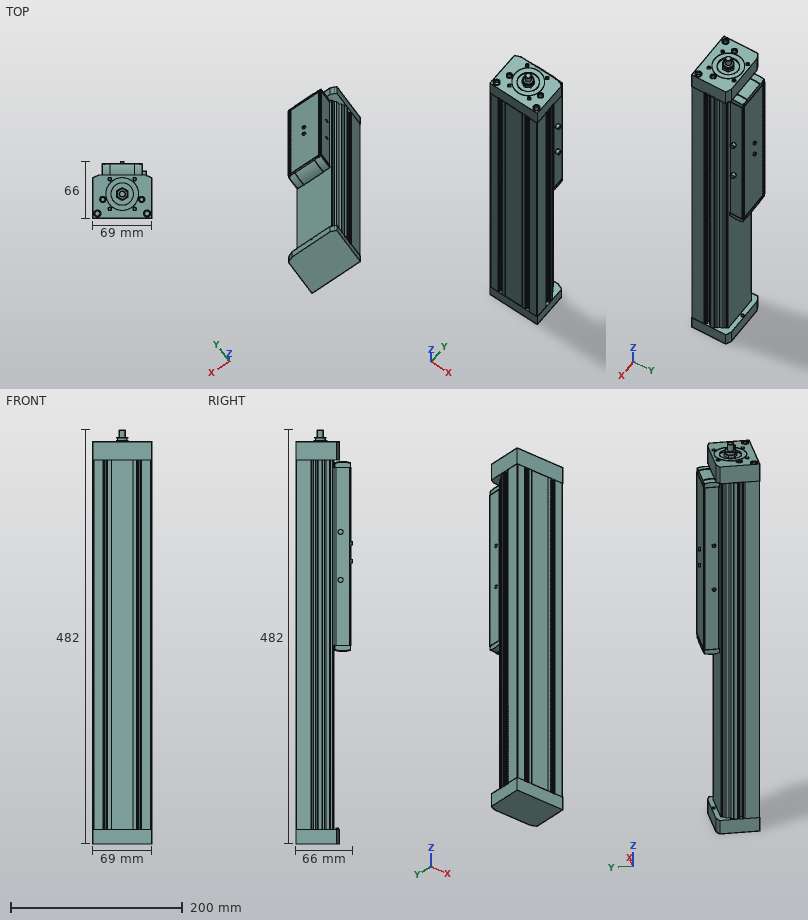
import cadquery as cq
import math


total_length = 482.0
half_width = 69.0 / 2
front_y = -28.5
shaft_stickout = 13.5
drive_cap_height = 21.5
end_cap_height = 17.5
drive_cap_top = total_length - shaft_stickout
drive_cap_bottom = drive_cap_top - drive_cap_height

block_rear_y = 22.0
bevel_start_y = 19.0
bevel_middle = (32.0, 20.2)
bevel_end_x = 27.0
pilot_diameter = 38.0
pilot_depth = 0.5
bearing_seat_diameter = 26.0
bearing_seat_depth = 2.0
pilot_floor_z = drive_cap_top - pilot_depth - bearing_seat_depth
flange_hole_diameter = 4.15
flange_hole_depth = 2.0
flange_thread_diameter = 3.25
flange_thread_depth = 7.0
flange_hole_x = 14.5
flange_hole_y = 17.5
port_diameter = 5.0
port_rim_diameter = 7.0
port_rim_depth = 1.5
port_depth = 9.5
port_x = 22.5
port_y = -6.5
corner_rim_diameter = 8.0
corner_rim_depth = 1.0
corner_bore_diameter = 6.0
corner_bore_depth = 5.0
corner_x = 29.0
corner_y = -22.5
buffer_diameter = 3.25
buffer_height = 1.5
buffer_y = 20.0

profile_rear_y = 16.0
front_chamfer_width = 1.5
front_chamfer_depth = 0.5
slot_lip_depth = 1.5
slot_ledge_depth = 2.5
slot_mouth_depth = 4.0
slot_depth = 6.7
front_slot_x = 20.0
front_slot_width = 6.0
front_slot_ledge = 4.0
front_slot_mouth = 2.0
side_slot_y = -6.7
side_slot_width = 8.5
side_slot_ledge = 6.0
side_slot_mouth = 3.0
panel_width = 24.5
panel_depth = 0.5

carriage_half_width = 23.5
carriage_top_y = 35.5
carriage_bottom_y = 18.5
carriage_plate_bottom = 231.5
carriage_plate_top = 438.0
carriage_edge_drop = 1.5
carriage_edge_inset = 0.5
carriage_groove_x = 20.5
carriage_groove_width = 1.5
carriage_groove_depth = 1.0
carriage_foot_half_width = 13.5
cover_half_width = 23.0
cover_bottom_y = 17.0
cover_top_y = 35.0
cover_edge_length = 6.0
cover_bulge = 1.5
cover_shoulder_drop = 1.0
cover_center_half_width = 14.0
dowel_diameter = 4.15
dowel_height = 2.0
dowel_heights = (329.0, 350.0)
side_port_diameter = 4.15
side_port_depth = 4.0
side_port_y = 23.5
side_port_heights = (307.5, 363.5)
nipple_diameter = 6.0
nipple_length = 4.5

shaft_diameter = 7.0
journal_diameter = 9.5
nut_across_flats = 13.0
nut_top_above_cap = 1.0
neck_diameter = 11.5
neck_top_above_cap = 4.5
collar_diameter = 13.0
collar_thickness = 0.5
shaft_tip_chamfer = 0.5


def mirrored_outline(right_side):
    """Closed XY outline from its +X half, listed from front to rear."""
    left_side = [(-x, y) for x, y in reversed(right_side)]
    return cq.Workplane("XY").polyline(right_side + left_side).close()


def box(x_range, y_range, z_range):
    """Box between the given coordinate pairs."""
    (x0, x1), (y0, y1), (z0, z1) = x_range, y_range, z_range
    return cq.Workplane("XY").box(x1 - x0, y1 - y0, z1 - z0, centered=False).translate((x0, y0, z0))


def upright_cylinder(diameter, bottom, top, x=0.0, y=0.0):
    """Cylinder along Z between two heights."""
    return cq.Workplane("XY", origin=(x, y, bottom)).circle(diameter / 2).extrude(top - bottom)


def end_block(bottom, height):
    """Plain end block with two-step bevels on its rear corners."""
    outline = mirrored_outline([
        (half_width, front_y),
        (half_width, bevel_start_y),
        bevel_middle,
        (bevel_end_x, block_rear_y),
    ])
    return outline.extrude(height).translate((0, 0, bottom))


def bore(block, diameter, depth, x=0.0, y=0.0):
    """Cut a blind round hole down from the top of the drive block."""
    return block.cut(upright_cylinder(diameter, drive_cap_top - depth, drive_cap_top, x, y))


def make_drive_block():
    block = end_block(drive_cap_bottom, drive_cap_height)
    block = bore(block, pilot_diameter, pilot_depth)
    block = bore(block, bearing_seat_diameter, pilot_depth + bearing_seat_depth)
    block = bore(block, journal_diameter, drive_cap_height)
    for side in (-1, 1):
        for end in (-1, 1):
            hole_place = (side * flange_hole_x, end * flange_hole_y)
            block = bore(block, flange_hole_diameter, flange_hole_depth, *hole_place)
            block = bore(block, flange_thread_diameter, flange_thread_depth, *hole_place)
        block = bore(block, port_rim_diameter, port_rim_depth, side * port_x, port_y)
        block = bore(block, port_diameter, port_depth, side * port_x, port_y)
        block = bore(block, corner_rim_diameter, corner_rim_depth, side * corner_x, corner_y)
        block = bore(block, corner_bore_diameter, corner_bore_depth, side * corner_x, corner_y)
    return block


def make_end_block():
    buffer = upright_cylinder(buffer_diameter, 0, end_cap_height + buffer_height, y=buffer_y)
    return end_block(0, end_cap_height).union(buffer)


def t_slot(width, ledge, mouth, length):
    """Stepped T-slot cutter along Z, opening toward -Y from the XZ plane."""
    stages = (
        (width, 0, slot_lip_depth),
        (ledge, slot_lip_depth, slot_ledge_depth),
        (mouth, slot_ledge_depth, slot_mouth_depth),
        (width, slot_mouth_depth, slot_depth),
    )
    cutter = cq.Workplane("XY")
    for stage_width, start, stop in stages:
        cutter = cutter.union(box((-stage_width / 2, stage_width / 2), (start, stop), (0, length)))
    return cutter


def make_profile():
    length = drive_cap_bottom - end_cap_height
    outline = mirrored_outline([
        (half_width - front_chamfer_width, front_y),
        (half_width, front_y + front_chamfer_depth),
        (half_width, -2.0),
        (33.5, 2.0),
        (32.0, 2.5),
        (31.1, 5.0),
        (29.0, 6.7),
        (28.0, 10.5),
        (26.0, 12.0),
        (25.5, 14.0),
        (24.5, 14.5),
        (24.5, profile_rear_y),
    ])
    profile = outline.extrude(length)
    panel_x = (-panel_width / 2, panel_width / 2)
    profile = profile.cut(box(panel_x, (front_y, front_y + panel_depth), (0, length)))
    front_slot = t_slot(front_slot_width, front_slot_ledge, front_slot_mouth, length)
    side_slot = t_slot(side_slot_width, side_slot_ledge, side_slot_mouth, length)
    for side in (-1, 1):
        profile = profile.cut(front_slot.translate((side * front_slot_x, front_y, 0)))
        turned_slot = side_slot.rotate((0, 0, 0), (0, 0, 1), side * 90)
        profile = profile.cut(turned_slot.translate((side * half_width, side_slot_y, 0)))
    return profile.translate((0, 0, end_cap_height))


def end_cover(half_span, edge_length):
    """Upper carriage cover with an outer end that bulges along Y, centred on X."""
    base = carriage_plate_top
    edge = base + edge_length
    middle = ((cover_bottom_y + cover_top_y) / 2, edge + cover_bulge)
    return (
        cq.Workplane("YZ", origin=(-half_span, 0, 0))
        .moveTo(cover_bottom_y, base)
        .lineTo(cover_bottom_y, edge)
        .threePointArc(middle, (cover_top_y, edge))
        .lineTo(cover_top_y, base)
        .close()
        .extrude(2 * half_span)
    )


def make_carriage():
    outline = mirrored_outline([
        (carriage_half_width, carriage_bottom_y),
        (carriage_half_width, carriage_top_y - carriage_edge_drop),
        (carriage_half_width - carriage_edge_inset, carriage_top_y),
    ])
    plate_span = (carriage_plate_bottom, carriage_plate_top)
    plate_length = carriage_plate_top - carriage_plate_bottom
    carriage = outline.extrude(plate_length).translate((0, 0, carriage_plate_bottom))
    foot_x = (-carriage_foot_half_width, carriage_foot_half_width)
    carriage = carriage.union(box(foot_x, (profile_rear_y, carriage_bottom_y), plate_span))
    cover = end_cover(cover_half_width, cover_edge_length - cover_shoulder_drop)
    cover = cover.union(end_cover(cover_center_half_width, cover_edge_length))
    middle_z = sum(plate_span) / 2
    carriage = carriage.union(cover).union(cover.mirror("XY", (0, 0, middle_z)))
    cover_reach = cover_edge_length + cover_bulge
    groove_span = (carriage_plate_bottom - cover_reach, carriage_plate_top + cover_reach)
    groove_y = (carriage_top_y - carriage_groove_depth, carriage_top_y)
    for side in (-1, 1):
        groove_center = side * carriage_groove_x
        groove_x = (groove_center - carriage_groove_width / 2, groove_center + carriage_groove_width / 2)
        carriage = carriage.cut(box(groove_x, groove_y, groove_span))
    for height in dowel_heights:
        dowel = cq.Workplane("XZ", origin=(0, carriage_top_y, height)).circle(dowel_diameter / 2)
        carriage = carriage.union(dowel.extrude(-dowel_height))
    for height in side_port_heights:
        port = cq.Workplane("YZ", origin=(-carriage_half_width, side_port_y, height))
        carriage = carriage.cut(port.circle(side_port_diameter / 2).extrude(side_port_depth))
        nipple = cq.Workplane("YZ", origin=(carriage_half_width, side_port_y, height))
        carriage = carriage.union(nipple.circle(nipple_diameter / 2).extrude(nipple_length))
    return carriage


def make_shaft():
    nut_top = drive_cap_top + nut_top_above_cap
    neck_top = drive_cap_top + neck_top_above_cap
    collar_top = neck_top + collar_thickness
    shaft = upright_cylinder(shaft_diameter, collar_top, total_length).faces(">Z").chamfer(shaft_tip_chamfer)
    shaft = shaft.union(upright_cylinder(collar_diameter, neck_top, collar_top))
    shaft = shaft.union(upright_cylinder(neck_diameter, nut_top, neck_top))
    across_corners = nut_across_flats / math.cos(math.pi / 6)
    nut = cq.Workplane("XY").polygon(6, across_corners).extrude(nut_top - pilot_floor_z)
    nut = nut.rotate((0, 0, 0), (0, 0, 1), 90).translate((0, 0, pilot_floor_z))
    return shaft.union(nut).union(upright_cylinder(journal_diameter, drive_cap_bottom, pilot_floor_z))


drive_block = make_drive_block()
lower_block = make_end_block()
profile = make_profile()
carriage = make_carriage()
shaft = make_shaft()

result = cq.Compound.makeCompound([
    drive_block.val(),
    lower_block.val(),
    profile.val(),
    carriage.val(),
    shaft.val(),
])